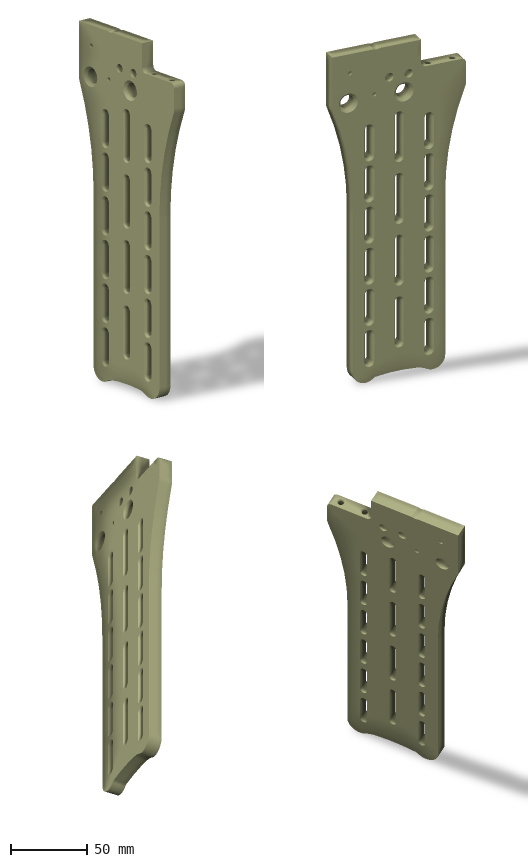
import cadquery as cq
import math

height = 242.2
thickness = 9.5
head_half_width = 48.5
body_half_width = 33.5

head_side_bottom = 203.0
flank_bottom = 127.0
flank_shoulder_radius = 10.0
step_x = 16.0
step_z = 222.0
step_radius = 3.5

foot_corner_radius = 9.0
arch_rise = 4.0
arch_radius = 121.0
left_blend_radius = 3.9
right_blend_radius = 19.4

side_slot_x = 21.5
side_slot_width = 4.8
side_slot_length = 24.5
side_slot_pitch = 30.0
side_slot_chamfer = 1.2
side_slot_count = 6
side_slot_centre_z = 99.5
middle_slot_width = 4.8
middle_slot_length = 35.1
middle_slot_pitch = 45.0
middle_slot_chamfer = 1.0
middle_slot_count = 4
middle_slot_centre_z = 107.0

pin_hole_diameter = 3.0
pin_hole_positions = [(-35.5, 228.2), (-18.0, 209.3)]
screw_hole_diameter = 6.0
screw_hole_half_spacing = 7.0
screw_hole_z = 219.5
main_hole_diameter = 10.0
main_hole_chamfer = 2.0
main_hole_z = 206.5
main_hole_xs = [-36.5, 3.6]

edge_hole_diameter = 3.9
edge_hole_mouth_diameter = 5.0
edge_hole_depth = 19.4
edge_hole_xs = [23.0, 40.7]
groove_x = -16.2
groove_half_width = 2.2
groove_depth = 0.5


def point_between(start, end, distance):
    """Point on the line from start towards end, at the given distance from start."""
    ratio = distance / math.dist(start, end)
    return tuple(a + (b - a) * ratio for a, b in zip(start, end))


def mirrored(point):
    """The same point on the other side of the centre line."""
    return (-point[0], point[1])


def point_on_circle(centre, radius, angle):
    return (centre[0] + radius * math.cos(angle), centre[1] + radius * math.sin(angle))


def middle_of_arc(centre, start, end):
    """Point halfway along the shorter arc from start to end."""
    chord_middle = ((start[0] + end[0]) / 2, (start[1] + end[1]) / 2)
    return point_between(centre, chord_middle, math.dist(centre, start))


def foot_points(blend_radius):
    """Points along the right half of the foot, from the body side to the start of the arch."""
    corner_centre = (body_half_width - foot_corner_radius, foot_corner_radius)
    arch_centre = (0, arch_rise - arch_radius)
    corner_distance = math.dist(arch_centre, corner_centre)
    blend_distance = arch_radius - blend_radius
    blend_reach = foot_corner_radius + blend_radius
    corner_angle = math.atan2(corner_centre[1] - arch_centre[1], corner_centre[0])
    offset_angle = math.acos(
        (corner_distance**2 + blend_distance**2 - blend_reach**2)
        / (2 * corner_distance * blend_distance)
    )
    blend_centre = point_on_circle(arch_centre, blend_distance, corner_angle + offset_angle)

    side_end = (body_half_width, foot_corner_radius)
    corner_middle = point_on_circle(corner_centre, foot_corner_radius, -math.pi / 4)
    corner_end = point_between(corner_centre, blend_centre, foot_corner_radius)
    blend_end = point_between(arch_centre, blend_centre, arch_radius)
    blend_middle = middle_of_arc(blend_centre, corner_end, blend_end)
    return side_end, corner_middle, corner_end, blend_middle, blend_end


def make_plate():
    flank_width = head_half_width - body_half_width
    flank_height = head_side_bottom - flank_bottom
    flank_radius = (flank_width**2 + flank_height**2) / (2 * flank_width)
    flank_centre = (body_half_width + flank_radius, flank_bottom)
    head_corner = (head_half_width, head_side_bottom)
    flank_start = (body_half_width, flank_bottom)
    flank_middle = middle_of_arc(flank_centre, flank_start, head_corner)

    right_foot = foot_points(right_blend_radius)
    left_foot = [mirrored(point) for point in foot_points(left_blend_radius)]
    side_end_right, corner_middle_right, corner_end_right, blend_middle_right, blend_end_right = right_foot
    side_end_left, corner_middle_left, corner_end_left, blend_middle_left, blend_end_left = left_foot

    plate = (
        cq.Workplane("XZ")
        .moveTo(-head_half_width, height)
        .lineTo(step_x, height)
        .lineTo(step_x, step_z)
        .lineTo(head_half_width, step_z)
        .lineTo(*head_corner)
        .threePointArc(flank_middle, flank_start)
        .lineTo(*side_end_right)
        .threePointArc(corner_middle_right, corner_end_right)
        .threePointArc(blend_middle_right, blend_end_right)
        .threePointArc((0, arch_rise), blend_end_left)
        .threePointArc(blend_middle_left, corner_end_left)
        .threePointArc(corner_middle_left, side_end_left)
        .lineTo(*mirrored(flank_start))
        .threePointArc(mirrored(flank_middle), mirrored(head_corner))
        .close()
        .extrude(-thickness)
    )

    def upright_edges(x, z):
        return plate.edges(cq.selectors.NearestToPointSelector((x, thickness / 2, z)))

    plate = upright_edges(step_x, step_z).fillet(step_radius)
    plate = upright_edges(head_half_width, step_z).fillet(step_radius)
    for x in (-head_half_width, head_half_width):
        plate = upright_edges(x, head_side_bottom).fillet(flank_shoulder_radius)
    return plate


def cut_slot_column(plate, x, centre_z, count, pitch, length, width, chamfer):
    """Cut a column of upright slots, chamfered at the front face."""
    first_z = centre_z - (count - 1) / 2 * pitch
    places = [(x, first_z + index * pitch) for index in range(count)]
    front = cq.Workplane("XZ").pushPoints(places)
    through = front.slot2D(length, width, 90).extrude(-thickness)
    flare = front.slot2D(length + 2 * chamfer, width + 2 * chamfer, 90).extrude(-chamfer, taper=45)
    return plate.cut(through).cut(flare)


def cut_round_holes(plate, places, diameter):
    holes = cq.Workplane("XZ").pushPoints(places).circle(diameter / 2).extrude(-thickness)
    return plate.cut(holes)


def cut_main_holes(plate):
    """Cut the two large holes, chamfered at the front face."""
    places = [(x, main_hole_z) for x in main_hole_xs]
    mouth_radius = main_hole_diameter / 2 + main_hole_chamfer
    flare = cq.Workplane("XZ").pushPoints(places).circle(mouth_radius).extrude(-main_hole_chamfer, taper=45)
    return cut_round_holes(plate, places, main_hole_diameter).cut(flare)


def cut_edge_holes(plate):
    """Drill down into the step, with a small chamfer at each mouth."""
    places = [(x, thickness / 2) for x in edge_hole_xs]
    chamfer = (edge_hole_mouth_diameter - edge_hole_diameter) / 2
    step = cq.Workplane("XY", origin=(0, 0, step_z)).pushPoints(places)
    bores = step.circle(edge_hole_diameter / 2).extrude(-edge_hole_depth)
    flare = step.circle(edge_hole_mouth_diameter / 2).extrude(-chamfer, taper=45)
    return plate.cut(bores).cut(flare)


def cut_top_groove(plate):
    """Cut the shallow round-bottomed groove across the top edge."""
    groove = (
        cq.Workplane("XZ")
        .moveTo(groove_x - groove_half_width, height)
        .threePointArc((groove_x, height - groove_depth), (groove_x + groove_half_width, height))
        .close()
        .extrude(-thickness)
    )
    return plate.cut(groove)


result = make_plate()
for column_x in (-side_slot_x, side_slot_x):
    result = cut_slot_column(
        result,
        column_x,
        side_slot_centre_z,
        side_slot_count,
        side_slot_pitch,
        side_slot_length,
        side_slot_width,
        side_slot_chamfer,
    )
result = cut_slot_column(
    result,
    0,
    middle_slot_centre_z,
    middle_slot_count,
    middle_slot_pitch,
    middle_slot_length,
    middle_slot_width,
    middle_slot_chamfer,
)
screw_hole_places = [(x, screw_hole_z) for x in (-screw_hole_half_spacing, screw_hole_half_spacing)]
result = cut_round_holes(result, pin_hole_positions, pin_hole_diameter)
result = cut_round_holes(result, screw_hole_places, screw_hole_diameter)
result = cut_main_holes(result)
result = cut_edge_holes(result)
result = cut_top_groove(result)